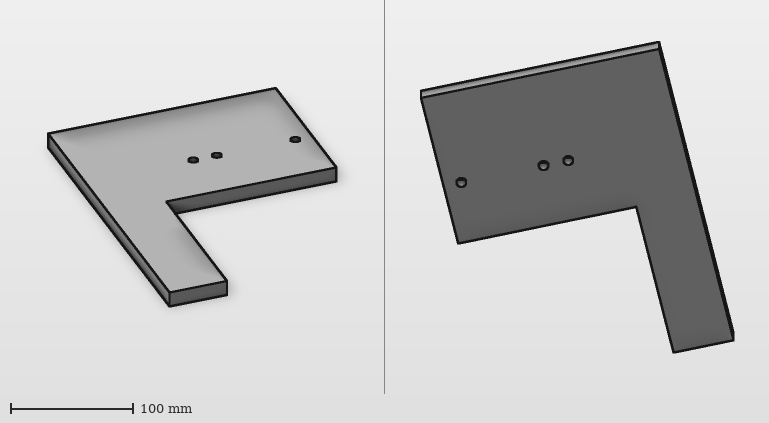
import cadquery as cq

length = 273.0
width = 200.0
thickness = 13.5

body_length = length / 2
arm_width = 50.5

hole_diameter = 8.0
hole_x = 82.7
hole_y_positions = (95.3, 116.0, 185.0)


def make_plate():
    """L-shaped plate with its front-left bottom corner at the origin."""
    body = cq.Workplane("XY").box(body_length, width, thickness, centered=False)
    arm = cq.Workplane("XY").box(length, arm_width, thickness, centered=False)
    return body.union(arm)


def make_holes():
    """Cylinders that cut the row of through holes."""
    centers = [(hole_x, y) for y in hole_y_positions]
    return cq.Workplane("XY").pushPoints(centers).circle(hole_diameter / 2).extrude(thickness)


result = make_plate().cut(make_holes())